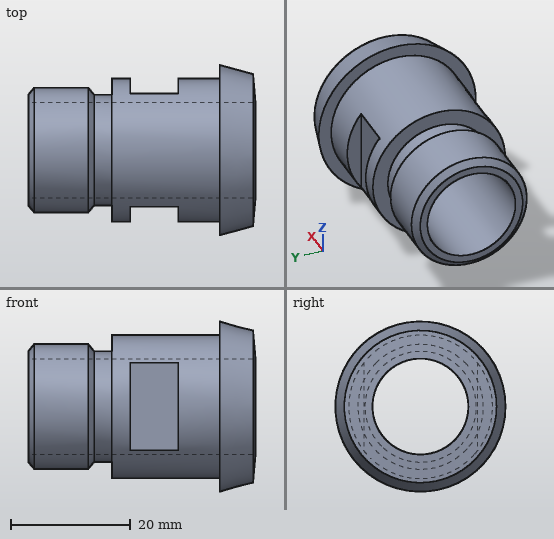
import cadquery as cq

overall_length = 38.0
chamfer_length = 1.0
spigot_length = 11.0
shoulder_x = 14.0
collar_x = 32.0
collar_rim_x = 37.6

bore_diameter = 16.0
groove_diameter = 18.6
spigot_diameter = 20.95
body_diameter = 24.0
collar_diameter = 28.5
collar_rim_diameter = 25.45

flat_start_x = 17.05
flat_length = 7.98
across_flats = 19.0


def turned_body():
    """Revolve the stepped half outline, bore included, about the X axis."""
    half_outline = [
        (0, bore_diameter / 2),
        (0, groove_diameter / 2),
        (chamfer_length, spigot_diameter / 2),
        (spigot_length - chamfer_length, spigot_diameter / 2),
        (spigot_length, groove_diameter / 2),
        (shoulder_x, groove_diameter / 2),
        (shoulder_x, body_diameter / 2),
        (collar_x, body_diameter / 2),
        (collar_x, collar_diameter / 2),
        (collar_rim_x, collar_rim_diameter / 2),
        (overall_length, bore_diameter / 2),
    ]
    profile = cq.Workplane("XY").polyline(half_outline).close()
    return profile.revolve(360, (0, 0, 0), (1, 0, 0))


def flat_cutter(side):
    """Block that removes the body beyond one wrench flat; side is +1 or -1."""
    depth = body_diameter - across_flats
    center = (flat_start_x + flat_length / 2, side * (across_flats + depth) / 2, 0)
    return cq.Workplane("XY").box(flat_length, depth, body_diameter).translate(center)


result = turned_body()
for side in (1, -1):
    result = result.cut(flat_cutter(side))